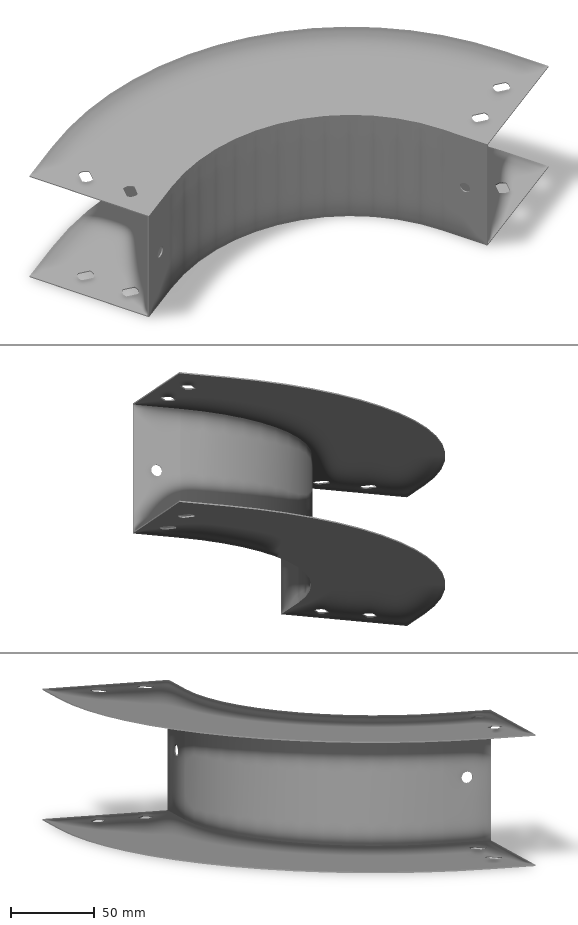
import cadquery as cq
import math

size = 230.0
width = 80.0
height = 80.0
thickness = 0.8
leg = 30.0
outer_radius = size - leg
inner_radius = outer_radius - width

hole_diameter = 7.0
slot_diameter = 10.0
slot_width = 7.0
hole_from_end = leg / 2
slot_angle = 45
top_y_leg_slots = [(30.1, 15.0), (60.0, 15.0)]
top_x_leg_slots = [(213.7, 200.3), (215.0, 170.0)]
bottom_y_leg_slots = [(29.7, 15.9), (60.0, 15.0)]
bottom_x_leg_slots = [(214.5, 200.0), (215.0, 170.0)]


def bend_band(band_width, band_height):
    """Band of the bend measured outward from its inner edge."""
    radius = inner_radius + band_width
    centre_x = size - leg
    diagonal = math.sqrt(0.5)
    outer_mid = (centre_x - radius * diagonal, leg + radius * diagonal)
    inner_mid = (centre_x - inner_radius * diagonal, leg + inner_radius * diagonal)
    return (
        cq.Workplane("XY")
        .moveTo(centre_x - radius, 0)
        .lineTo(centre_x - radius, leg)
        .threePointArc(outer_mid, (centre_x, leg + radius))
        .lineTo(size, leg + radius)
        .lineTo(size, leg + inner_radius)
        .lineTo(centre_x, leg + inner_radius)
        .threePointArc(inner_mid, (centre_x - inner_radius, leg))
        .lineTo(centre_x - inner_radius, 0)
        .close()
        .extrude(band_height)
    )


def slot_cutters(centres, angle, plate_bottom):
    """Round holes narrowed by two flats, turned by angle about Z."""
    disc = cq.Workplane("XY").circle(slot_diameter / 2).extrude(thickness)
    strip = cq.Workplane("XY").rect(slot_diameter, slot_width).extrude(thickness)
    slot = disc.intersect(strip).rotate((0, 0, 0), (0, 0, 1), angle)
    cutters = cq.Workplane("XY")
    for x, y in centres:
        cutters = cutters.add(slot.translate((x, y, plate_bottom)))
    return cutters.combine()


plate = bend_band(width, thickness)
top_plate_bottom = height - thickness
wall = bend_band(thickness, height)
channel = wall.union(plate).union(plate.translate((0, 0, top_plate_bottom)))

channel = channel.cut(slot_cutters(top_y_leg_slots, -slot_angle, top_plate_bottom))
channel = channel.cut(slot_cutters(top_x_leg_slots, slot_angle, top_plate_bottom))
channel = channel.cut(slot_cutters(bottom_y_leg_slots, slot_angle, 0))
channel = channel.cut(slot_cutters(bottom_x_leg_slots, -slot_angle, 0))

y_leg_hole = (
    cq.Workplane("YZ", origin=(width - thickness, hole_from_end, height / 2))
    .circle(hole_diameter / 2)
    .extrude(thickness)
)
x_leg_hole = (
    cq.Workplane("XZ", origin=(size - hole_from_end, size - width + thickness, height / 2))
    .circle(hole_diameter / 2)
    .extrude(thickness)
)
result = channel.cut(y_leg_hole).cut(x_leg_hole)